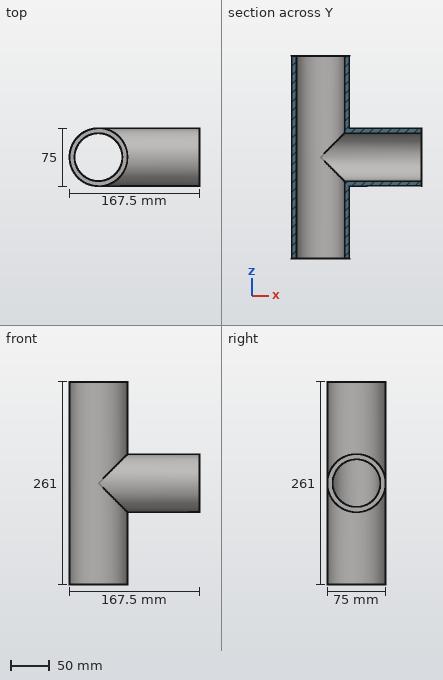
import cadquery as cq

run_length = 261.0
outer_diameter = 75.0
wall_thickness = 6.8
overall_width = 167.5

outer_radius = outer_diameter / 2
bore_radius = outer_radius - wall_thickness
branch_length = overall_width - outer_radius


def tee_cylinders(radius):
    """Run and branch cylinders of one radius, with axes meeting at the origin."""
    run = cq.Workplane("XY").circle(radius).extrude(run_length / 2, both=True)
    branch = cq.Workplane("YZ").circle(radius).extrude(branch_length)
    return run.union(branch)


result = tee_cylinders(outer_radius).cut(tee_cylinders(bore_radius))